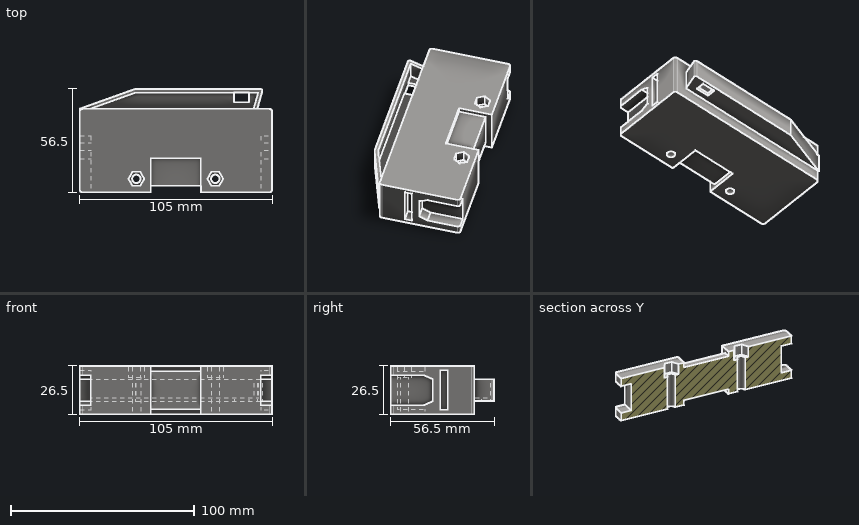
import cadquery as cq
import math

length = 105.0
depth = 45.7
height = 26.5
corner_radius = 1.6

grip_width = 27.2
grip_reach = 18.6
grip_front_depth = 3.6
grip_face_depth = 2.8

bolt_spacing = 43.0
bolt_y = 7.5
bolt_diameter = 4.5
nut_across_flats = 7.5
nut_pocket_depth = 6.3

end_depth = 6.2
notch_reach = 23.0
notch_straight = 18.3
notch_height = 16.3
notch_tip_height = 12.1
slot_y = 29.1
slot_width = 4.0
slot_height = 21.5

lever_height = 12.0
lever_reach = 10.8
lever_bend_x = -22.3
lever_tip_x = 47.6
lever_root_x = 44.5
lever_tip_radius = 1.0
lever_wall = 2.0

window_x = 35.8
window_width = 8.1
window_depth = 5.1


def box(size_x, size_y, size_z, center):
    return cq.Workplane("XY").box(size_x, size_y, size_z).translate(center)


def make_grip_recess():
    """U-shaped cutter: the front strip plus the top and bottom steps."""
    envelope = box(grip_width, grip_reach, height, (0, grip_reach / 2, 0))
    core_depth = grip_reach - grip_front_depth
    core = box(
        grip_width, core_depth, height - 2 * grip_face_depth,
        (0, grip_front_depth + core_depth / 2, 0),
    )
    return envelope.cut(core)


def make_bolt_hole(x):
    """Through hole with a hexagonal pocket sunk from the top."""
    across_corners = nut_across_flats / math.cos(math.pi / 6)
    hole = (
        cq.Workplane("XY", origin=(x, bolt_y, -height / 2))
        .circle(bolt_diameter / 2)
        .extrude(height)
    )
    pocket = (
        cq.Workplane("XY", origin=(x, bolt_y, height / 2))
        .polygon(6, across_corners)
        .extrude(-nut_pocket_depth)
    )
    return hole.union(pocket)


def make_left_end_cuts():
    """Tapered notch open to the front, and the upright slot behind it."""
    notch = (
        cq.Workplane("YZ", origin=(-length / 2, 0, 0))
        .moveTo(0, -notch_height / 2)
        .lineTo(notch_straight, -notch_height / 2)
        .lineTo(notch_reach, -notch_tip_height / 2)
        .lineTo(notch_reach, notch_tip_height / 2)
        .lineTo(notch_straight, notch_height / 2)
        .lineTo(0, notch_height / 2)
        .close()
        .extrude(end_depth)
    )
    slot = box(end_depth, slot_width, slot_height, ((end_depth - length) / 2, slot_y, 0))
    return notch.union(slot)


def make_housing():
    housing = box(length, depth, height, (0, depth / 2, 0)).edges("|Z").fillet(corner_radius)
    housing = housing.cut(make_grip_recess())
    for side in (-1, 1):
        housing = housing.cut(make_bolt_hole(side * bolt_spacing / 2))
    end_cuts = make_left_end_cuts()
    return housing.cut(end_cuts).cut(end_cuts.mirror("YZ"))


def make_lever():
    back_y = depth + lever_reach
    outline = [
        (-length / 2, depth),
        (lever_root_x, depth),
        (lever_tip_x, back_y),
        (lever_bend_x, back_y),
    ]
    lever = (
        cq.Workplane("XY", origin=(0, 0, -lever_height / 2))
        .polyline(outline)
        .close()
        .extrude(lever_height)
    )

    left_run = lever_bend_x + length / 2
    right_run = lever_tip_x - lever_root_x
    left_side = math.hypot(left_run, lever_reach)
    right_side = math.hypot(right_run, lever_reach)
    left_wall_x = lever_wall * left_side / lever_reach
    right_wall_x = lever_wall * right_side / lever_reach
    inner_reach = lever_reach - lever_wall
    inner_share = inner_reach / lever_reach
    inner_left_x = -length / 2 + left_wall_x
    inner_right_x = lever_root_x - right_wall_x
    tray_outline = [
        (inner_left_x, depth),
        (inner_right_x, depth),
        (inner_right_x + right_run * inner_share, depth + inner_reach),
        (inner_left_x + left_run * inner_share, depth + inner_reach),
    ]
    tray = (
        cq.Workplane("XY", origin=(0, 0, lever_wall - lever_height / 2))
        .polyline(tray_outline)
        .close()
        .extrude(lever_height - lever_wall)
    )
    window_y = depth + inner_reach - window_depth / 2
    window = box(window_width, window_depth, lever_height, (window_x, window_y, 0))

    tip_edge = cq.selectors.NearestToPointSelector((lever_tip_x, back_y, 0))
    return lever.edges(tip_edge).fillet(lever_tip_radius).cut(tray).cut(window)


housing = make_housing()
lever = make_lever()

result = cq.Compound.makeCompound([housing.val(), lever.val()])